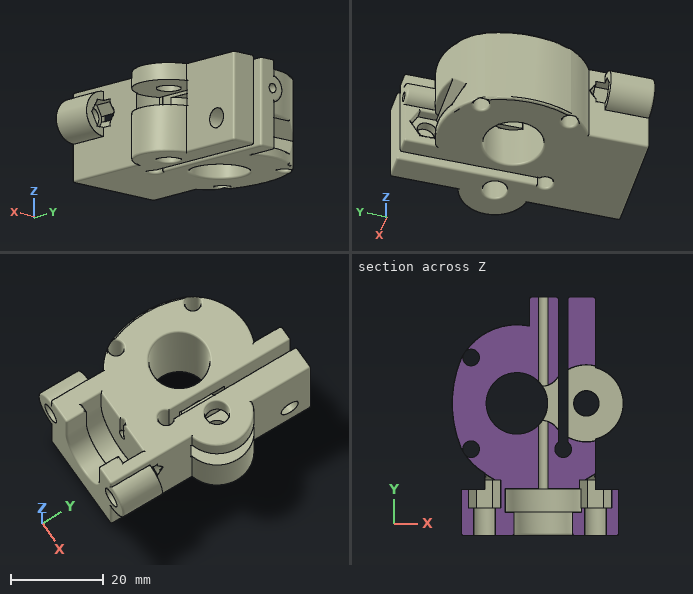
import cadquery as cq
import math

height = 20.0
edge_round = 0.5

front_y = -28.6
back_y = 23.0
block_left_x = -7.0
block_right_x = 17.0
drive_left_x = -14.0
corner_arc_radius = 13.6
corner_arc_offset = 3.4
side_arc_half_length = 9.65

main_bore_radius = 6.6
idler_x = 15.0
idler_hole_radius = 2.7
idler_boss_radius = 8.0
idler_hole_round = 0.4
small_hole_radius = 1.75
bolt_circle_radius = 14.0
bolt_offset = bolt_circle_radius * math.cos(math.radians(45))

arm_left_x = 5.0
slit_x = 10.0
slit_width = 2.0

filament_x = 5.7
filament_z = 13.5
filament_hole_radius = 1.0
filament_boss_radius = 3.0
groove_radius = 0.75

mount_radius = 8.2
mouth_radius = 6.3
mount_back_y = -18.5
mount_step_y = -23.5

lug_radius = 5.0
lug_length = 10.0
lug_hole_radius = 2.3
lug_hole_depth = 12.0
drill_half_angle = 59.0
lug_nut_flats = 6.0
lug_nut_length = 6.0

idler_slot_bottom_z = 10.5
idler_slot_top_z = 16.1
idler_slot_radius = 8.3
throat_half_width = 3.7
throat_round_radius = 4.0

clamp_y = 17.4
clamp_z = 6.0
clamp_hole_radius = 2.2
clamp_nut_flats = 7.2
clamp_rim_round = 0.4
clamp_nut_depth = 2.0

pick_margin = 0.1


def upright_cylinder(x, y, radius):
    return cq.Workplane("XY").center(x, y).circle(radius).extrude(height)


def y_cylinder(x, z, radius, y_start, y_end):
    plane = cq.Plane(origin=(x, y_start, z), xDir=(1, 0, 0), normal=(0, 1, 0))
    return cq.Workplane(plane).circle(radius).extrude(y_end - y_start)


def box_between(x_range, y_range, z_range):
    size = [high - low for low, high in (x_range, y_range, z_range)]
    corner = (x_range[0], y_range[0], z_range[0])
    return cq.Workplane("XY").box(*size, centered=False).translate(corner)


def hex_diameter(across_flats):
    return across_flats / math.cos(math.radians(30))


def corner_arc_y(x):
    """Outer height of the corner arc above the X axis."""
    return corner_arc_offset + math.sqrt(corner_arc_radius**2 - x**2)


def make_body():
    rise = side_arc_half_length - corner_arc_offset
    side_x = -math.sqrt(corner_arc_radius**2 - rise**2)
    upper_middle_x = (side_x + arm_left_x) / 2
    lower_middle_x = (side_x + block_left_x) / 2
    return (
        cq.Workplane("XY")
        .moveTo(block_left_x, front_y)
        .lineTo(block_right_x, front_y)
        .lineTo(block_right_x, back_y)
        .lineTo(arm_left_x, back_y)
        .lineTo(arm_left_x, corner_arc_y(arm_left_x))
        .threePointArc((upper_middle_x, corner_arc_y(upper_middle_x)), (side_x, side_arc_half_length))
        .threePointArc((drive_left_x, 0), (side_x, -side_arc_half_length))
        .threePointArc(
            (lower_middle_x, -corner_arc_y(lower_middle_x)),
            (block_left_x, -corner_arc_y(block_left_x)),
        )
        .close()
        .extrude(height)
        .union(upright_cylinder(idler_x, 0, idler_boss_radius))
    )


def make_lugs():
    lugs = cq.Workplane("XY")
    for x in (block_left_x, block_right_x):
        lugs = lugs.union(y_cylinder(x, filament_z, lug_radius, front_y, front_y + lug_length))
    return lugs


def make_slit():
    slit_end_y = -bolt_offset
    slot = box_between(
        (slit_x - slit_width / 2, slit_x + slit_width / 2), (slit_end_y, back_y), (0, height)
    )
    return slot.union(upright_cylinder(slit_x, slit_end_y, small_hole_radius))


def make_u_cut(radius, y_start, y_end):
    rounded = y_cylinder(filament_x, filament_z, radius, y_start, y_end)
    straight = box_between(
        (filament_x - radius, filament_x + radius), (y_start, y_end), (filament_z, height)
    )
    return rounded.union(straight)


def make_filament_groove():
    groove = cq.Workplane("XY", origin=(filament_x, mount_back_y, filament_z))
    return groove.circle(groove_radius).extrude(height - filament_z)


def make_rounded_hole(x, y, radius, rim_round):
    """Through hole whose two rims are rounded over."""
    rim_radius = radius + rim_round
    sag = rim_round * (1 - math.sin(math.radians(45)))
    return (
        cq.Workplane("XZ", origin=(x, y, 0))
        .moveTo(0, 0)
        .lineTo(rim_radius, 0)
        .threePointArc((radius + sag, sag), (radius, rim_round))
        .lineTo(radius, height - rim_round)
        .threePointArc((radius + sag, height - sag), (rim_radius, height))
        .lineTo(0, height)
        .close()
        .revolve(360, (0, 0, 0), (0, 1, 0))
    )


def make_lug_hole(x):
    """Blind drilled hole with a conical end and a hexagonal nut trap just before the cone."""
    cone_y = front_y + lug_hole_depth
    tip_y = cone_y + lug_hole_radius / math.tan(math.radians(drill_half_angle))
    drill = (
        cq.Workplane("YZ", origin=(x, 0, filament_z))
        .polyline([(front_y, 0), (front_y, lug_hole_radius), (cone_y, lug_hole_radius), (tip_y, 0)])
        .close()
        .revolve(360, (0, 0, 0), (1, 0, 0))
    )
    trap_plane = cq.Plane(origin=(x, cone_y, filament_z), xDir=(1, 0, 0), normal=(0, -1, 0))
    trap = cq.Workplane(trap_plane).polygon(6, hex_diameter(lug_nut_flats)).extrude(lug_nut_length)
    return drill.union(trap)


def make_idler_slot():
    """Disc-shaped space around the idler, joined to the main bore by a throat with rounded corners."""
    slot_height = idler_slot_top_z - idler_slot_bottom_z
    plane = cq.Workplane("XY", origin=(0, 0, idler_slot_bottom_z))
    disc = plane.center(idler_x, 0).circle(idler_slot_radius).extrude(slot_height)
    throat = plane.center(idler_x / 2, 0).rect(idler_x, 2 * throat_half_width).extrude(slot_height)
    corner_x = idler_x - math.sqrt(idler_slot_radius**2 - throat_half_width**2)
    near_corners = cq.selectors.BoxSelector(
        (corner_x - pick_margin, -idler_slot_radius, 0), (corner_x + pick_margin, idler_slot_radius, height)
    )
    return disc.union(throat).edges("|Z").edges(near_corners).fillet(throat_round_radius)


def make_clamp_hole():
    plane = cq.Workplane("YZ", origin=(arm_left_x, clamp_y, clamp_z))
    return plane.circle(clamp_hole_radius).extrude(block_right_x - arm_left_x)


def cut_clamp_nut_recess(part):
    """Hexagonal recess sunk from the left through the rounded wall into the arm, with a rounded rim."""
    nut_diameter = hex_diameter(clamp_nut_flats)
    nut_length = arm_left_x + clamp_nut_depth - drive_left_x
    plane = cq.Workplane("YZ", origin=(drive_left_x, clamp_y, clamp_z))
    recessed = part.cut(plane.polygon(6, nut_diameter).extrude(nut_length))
    reach = nut_diameter / 2 + pick_margin
    half_flats = clamp_nut_flats / 2 + pick_margin
    rim_zone = cq.selectors.BoxSelector(
        (drive_left_x, clamp_y - reach, clamp_z - half_flats),
        (arm_left_x + pick_margin, clamp_y + reach, clamp_z + half_flats),
    )
    return recessed.edges("not |X").edges(rim_zone).fillet(clamp_rim_round)


body = make_body().union(make_lugs())
body = body.union(y_cylinder(filament_x, filament_z, filament_boss_radius, 0, back_y))
body = body.cut(make_slit())
body = body.cut(make_u_cut(mount_radius, mount_step_y, mount_back_y))
body = body.cut(make_u_cut(mouth_radius, front_y, mount_step_y))
body = body.cut(make_filament_groove())
body = body.faces("<Z or >Z or <Y or >Y").edges().fillet(edge_round)

body = body.cut(make_rounded_hole(0, 0, main_bore_radius, edge_round))
body = body.cut(make_rounded_hole(idler_x, 0, idler_hole_radius, idler_hole_round))
for bolt_y in (-bolt_offset, bolt_offset):
    body = body.cut(make_rounded_hole(-bolt_offset, bolt_y, small_hole_radius, edge_round))

body = body.cut(make_idler_slot())
for lug_x in (block_left_x, block_right_x):
    body = body.cut(make_lug_hole(lug_x))
body = cut_clamp_nut_recess(body)
body = body.cut(make_clamp_hole())
body = body.cut(y_cylinder(filament_x, filament_z, filament_hole_radius, front_y, back_y))

result = body